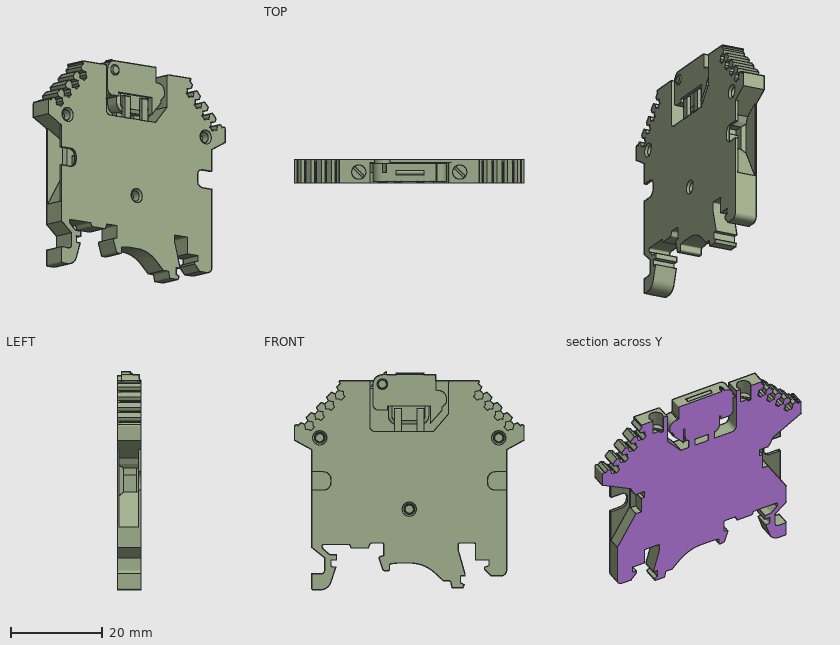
import cadquery as cq
import math

THICKNESS = 5.2
FRONT = -THICKNESS / 2
BACK = THICKNESS / 2
TOP = 45.95
HALF_WIDTH = 21.4
TIP_HALF_WIDTH = 25.2
TIP_BOTTOM = 32.85
SHOULDER = 30.8

GROOVE_COUNT = 4
GROOVE_STEP = 2.235
FIRST_GROOVE = (-22.65, 36.75)
TOOTH_HEIGHT = 0.8
MOUTH_HALF = 0.5
GROOVE_TOP_HALF = 0.8
GROOVE_WEB = 0.55

POCKET_FRONT = -2.0
POCKET_BACK = 2.2
POCKET_FLOOR = -16.75
POCKET_ROOF = 28.95
RAMP_BOTTOM = 13.8
NOTCH_END = -17.25
NOTCH_BOTTOM = 21.9
NOTCH_HEIGHT = 4.05
NOTCH_RADIUS = 1.6
RECESS_FRONT = -1.6
RECESS_BACK = 1.2
RECESS_BOTTOM = 21.45
RECESS_STEP = 25.25
RECESS_TOP = 26.75
RECESS_FLOOR = -15.35
RECESS_UPPER_FLOOR = -14.6
WEDGE_EDGE_Y = 1.25
WEDGE_DEPTH = 0.5
WEDGE_BOTTOM = 20.15
WEDGE_TOP = 28.2

DIMPLES = ((-19.65, 33.4), (19.65, 33.4), (0, 17.75))
DIMPLE_RIM = 3.1
DIMPLE_THROAT = 2.3
DIMPLE_END = 1.8
DIMPLE_RIM_DEPTH = 0.55
DIMPLE_DEPTH = 2.25

SCREW_X = 11.1
SCREW_Y = -0.2
SCREW_DIAMETER = 3.1
SCREW_DEPTH = 3.55
SCREW_SLOT_WIDTH = 0.5
SCREW_SLOT_DEPTH = 0.5

CHAMBER_BACK = 1.85
CHAMBER_FLOOR = 34.85
CHAMBER_LEFT = -8.65
CHAMBER_RIGHT = 8.65
CHAMBER_LIP_RADIUS = 0.45

LID_FRONT = -2.2
LID_BACK = 1.7
LID_TOP = 47.3
LID_ROUND = 2.05
HINGE = (-5.9, LID_TOP - LID_ROUND)
LID_LEFT = HINGE[0] - LID_ROUND
KNUCKLE_RADIUS = 1.85
PIN_DIAMETER = 2.3
PIN_END_DIAMETER = 1.75
PIN_HEIGHT = 0.3
RIB_LEFT, RIB_RIGHT = -2.85, 3.25
RIB_FRONT, RIB_BACK = -0.8, 0.15
RIB_TOP = 47.65
LATCH_FRONT, LATCH_BACK = -0.25, LID_BACK
PART_TOP = 48.0

CONTACT_X = 2.45
CONTACT_WIDTH = 1.6
CONTACT_FRONT, CONTACT_BACK = -2.4, -1.5
CONTACT_TOP = 39.85
CONTACT_ROUND = 0.45
LEG_FRONT = 0.45
PAD_CENTER_X = -0.15
PAD_HALF_WIDTH = 4.45
PAD_BOTTOM = 36.4
PAD_TOP = 42.35
PAD_CORNER = 1.8
PAD_TAPER = 0.8
PAD_FRONT = CONTACT_BACK
PAD_BASE_FRONT = PAD_FRONT + 0.3


def mirrored(points):
    """Reflect outline points across X = 0, reversing them to keep the direction of travel."""
    return [(-p[0], *p[1:]) for p in reversed(points)]


def rounded_outline(plane, points):
    """Closed outline through (u, v) or (u, v, radius) corners, rounding those with a radius."""
    ends = []
    count = len(points)
    for i, corner in enumerate(points):
        u, v = corner[:2]
        radius = corner[2] if len(corner) > 2 else 0
        if radius == 0:
            ends.append(((u, v),))
            continue
        before = points[i - 1]
        after = points[(i + 1) % count]
        in_angle = math.atan2(before[1] - v, before[0] - u)
        out_angle = math.atan2(after[1] - v, after[0] - u)
        half = math.acos(math.cos(in_angle - out_angle)) / 2
        reach = radius / math.tan(half)
        start = (u + reach * math.cos(in_angle), v + reach * math.sin(in_angle))
        end = (u + reach * math.cos(out_angle), v + reach * math.sin(out_angle))
        mid_u = (start[0] + end[0]) / 2 - u
        mid_v = (start[1] + end[1]) / 2 - v
        apex = radius * (1 / math.sin(half) - 1) / math.hypot(mid_u, mid_v)
        ends.append((start, (u + mid_u * apex, v + mid_v * apex), end))
    path = plane.moveTo(*ends[0][-1])
    for corner in ends[1:] + ends[:1]:
        path = path.lineTo(*corner[0])
        if len(corner) == 3:
            path = path.threePointArc(corner[1], corner[2])
    return path.close()


def plate(points, front, back):
    """Prism of an XZ outline between two Y positions."""
    plane = cq.Workplane("XZ", origin=(0, back, 0))
    return rounded_outline(plane, points).extrude(back - front)


def block(x_range, y_range, z_range):
    """Axis-aligned box from its three ranges."""
    sizes = [high - low for low, high in (x_range, y_range, z_range)]
    corner = (x_range[0], y_range[0], z_range[0])
    return cq.Workplane("XY").box(*sizes, centered=False).translate(corner)


def round_bar(center, diameters, front, back):
    """Cylinder or cone along Y; the diameters are those at the front and at the back."""
    return (
        cq.Workplane("XZ", origin=(center[0], front, center[1]))
        .circle(diameters[0] / 2)
        .workplane(offset=front - back)
        .circle(diameters[1] / 2)
        .loft(ruled=True)
    )


def on_slope(mouth, depth, along):
    """XZ point at a depth below the left shoulder and a distance up along it from a groove mouth."""
    return (mouth[0] + (along + depth) / math.sqrt(2), mouth[1] + (along - depth) / math.sqrt(2))


def groove_mouths():
    x, z = FIRST_GROOVE
    return [(x + i * GROOVE_STEP, z + i * GROOVE_STEP) for i in range(GROOVE_COUNT)]


def shoulder_points():
    """Left shoulder from the body side up to the top edge."""
    points = [
        (-HALF_WIDTH, SHOULDER),
        (-TIP_HALF_WIDTH, TIP_BOTTOM),
        (-TIP_HALF_WIDTH, 36.3, 0.4),
        (-24.65, 36.3),
        (-24.45, 36.1),
    ]
    for mouth in groove_mouths():
        points.append(on_slope(mouth, -TOOTH_HEIGHT, -GROOVE_TOP_HALF))
        points.append(on_slope(mouth, 0, -MOUTH_HALF))
        points.append(on_slope(mouth, 0, MOUTH_HALF))
        points.append(on_slope(mouth, -TOOTH_HEIGHT, GROOVE_TOP_HALF))
    points += [(-15.3, 45.15), (-15.15, 45.35), (-15.4, 45.65), (-15.3, TOP)]
    return points


def foot_points():
    """Rail feet along the bottom, from the +X side to the -X side."""
    catch_foot = [
        (HALF_WIDTH, 3.05, 1.3),
        (17.95, 3.05),
        (16.5, 4.55),
        (16.5, 5.0),
        (17.5, 5.35),
        (17.5, 6.55),
        (14.5, 6.55),
        (14.5, 10.3, 0.25),
        (10.8, 10.3, 0.25),
        (10.8, 8.7),
        (12.25, 3.6),
        (12.25, 3.05),
        (11.3, 3.05),
        (11.3, 1.55),
        (12.1, 1.15),
        (11.8, 0.45),
        (9.35, 0.45, 0.2),
        (9.05, 1.95, 0.3),
        (7.5, 1.95),
    ]
    arch = [
        (3.35, 5.9, 8.05),
        (-2.45, 5.9),
        (-4.35, 5.7, 0.25),
        (-4.35, 4.15, 0.35),
        (-5.75, 4.25, 0.45),
        (-6.75, 7.25, 0.45),
        (-5.65, 7.55),
        (-5.65, 10.3, 0.25),
        (-8.5, 10.3, 0.35),
        (-8.95, 9.15, 0.3),
        (-12.75, 9.15, 0.3),
        (-13.1, 10.0, 0.3),
        (-19.35, 10.0, 0.4),
        (-18.95, 9.05),
    ]
    hook_foot = [
        (-17.5, 7.75, 0.9),
        (-15.95, 7.75),
        (-15.95, 6.55),
        (-17.15, 6.55),
        (-17.15, 5.1, 0.25),
        (-16.1, 5.1),
        (-17.75, 0, 2.5),
        (-HALF_WIDTH, 0, 0.35),
        (-HALF_WIDTH, 3.6),
        (-18.6, 3.6, 0.75),
        (-18.6, 7.05),
        (-HALF_WIDTH, 9.3),
    ]
    return catch_foot + arch + hook_foot


def both_sides(solid):
    return solid.union(solid.mirror("YZ"))


def groove_pockets():
    """Keyhole-shaped grooves behind the tooth mouths, closed at the back by a thin web."""
    half_profile = [(-TOOTH_HEIGHT, 0.5), (0, MOUTH_HALF), (0.95, 1.15), (1.4, 0.65), (1.95, 0.55)]
    profile = half_profile + [(depth, -along) for depth, along in reversed(half_profile)]
    pockets = cq.Workplane("XZ")
    for mouth in groove_mouths():
        points = [on_slope(mouth, depth, along) for depth, along in profile]
        pockets = pockets.union(plate(points, FRONT, BACK - GROOVE_WEB))
    return both_sides(pockets)


def side_pockets():
    """Funnel pockets open to the sides, each with a deeper recess and a notch through its front wall."""
    overhang_run = (TIP_HALF_WIDTH - HALF_WIDTH) / (TIP_BOTTOM - SHOULDER)
    roof_x = -HALF_WIDTH + (SHOULDER - POCKET_ROOF) * overhang_run
    funnel = plate(
        [
            (-HALF_WIDTH, SHOULDER),
            (roof_x, POCKET_ROOF),
            (-17.4, 27.55),
            (POCKET_FLOOR, RECESS_TOP),
            (POCKET_FLOOR, RECESS_BOTTOM),
            (-HALF_WIDTH, RAMP_BOTTOM),
        ],
        POCKET_FRONT,
        POCKET_BACK,
    )
    wedge = (
        cq.Workplane("XY", origin=(0, 0, WEDGE_BOTTOM))
        .polyline(
            [
                (POCKET_FLOOR, POCKET_BACK),
                (POCKET_FLOOR - WEDGE_DEPTH, POCKET_BACK),
                (POCKET_FLOOR, WEDGE_EDGE_Y),
            ]
        )
        .close()
        .extrude(WEDGE_TOP - WEDGE_BOTTOM)
    )
    recess_width = (RECESS_FRONT, RECESS_BACK)
    recess = block((POCKET_FLOOR, RECESS_FLOOR), recess_width, (RECESS_BOTTOM, RECESS_TOP))
    upper_recess = block((POCKET_FLOOR, RECESS_UPPER_FLOOR), recess_width, (RECESS_STEP, RECESS_TOP))
    recess = recess.union(upper_recess)
    notch = plate(
        [
            (-HALF_WIDTH, NOTCH_BOTTOM),
            (NOTCH_END, NOTCH_BOTTOM, NOTCH_RADIUS),
            (NOTCH_END, NOTCH_BOTTOM + NOTCH_HEIGHT, NOTCH_RADIUS),
            (-HALF_WIDTH, NOTCH_BOTTOM + NOTCH_HEIGHT),
        ],
        FRONT,
        POCKET_FRONT,
    )
    return both_sides(funnel.cut(wedge).union(recess).union(notch))


def dimples():
    cutters = cq.Workplane("XZ")
    throat_y = FRONT + DIMPLE_RIM_DEPTH
    for center in DIMPLES:
        rim = round_bar(center, (DIMPLE_RIM, DIMPLE_THROAT), FRONT, throat_y)
        throat = round_bar(center, (DIMPLE_THROAT, DIMPLE_END), throat_y, FRONT + DIMPLE_DEPTH)
        cutters = cutters.union(rim).union(throat)
    return cutters


def screw_shafts():
    """Shafts down from the top, with a slanted driver slot in the screw head at the bottom."""
    shafts = cq.Workplane("XY")
    head_z = TOP - SCREW_DEPTH
    for x in (-SCREW_X, SCREW_X):
        plane = cq.Workplane("XY", origin=(x, SCREW_Y, head_z))
        shaft = plane.circle(SCREW_DIAMETER / 2).extrude(SCREW_DEPTH)
        slot = (
            plane.transformed(rotate=(0, 0, -45))
            .rect(SCREW_DIAMETER, SCREW_SLOT_WIDTH)
            .extrude(-SCREW_SLOT_DEPTH)
        )
        head = plane.circle(SCREW_DIAMETER / 2).extrude(-SCREW_SLOT_DEPTH)
        shafts = shafts.union(shaft).union(slot.intersect(head))
    return shafts


def chamber():
    """Chamber for the lid, open to the front and the top, with a rounded lip on the right."""
    space = plate(
        [
            (CHAMBER_LEFT, TOP),
            (CHAMBER_LEFT, CHAMBER_FLOOR, 1.1),
            (5.35, CHAMBER_FLOOR),
            (CHAMBER_RIGHT, 38.7),
            (CHAMBER_RIGHT, TOP),
        ],
        FRONT,
        CHAMBER_BACK,
    )
    r = CHAMBER_LIP_RADIUS
    lip = block((CHAMBER_RIGHT, CHAMBER_RIGHT + r), (FRONT, CHAMBER_BACK), (TOP - r, TOP))
    rounding = round_bar((CHAMBER_RIGHT + r, TOP - r), (2 * r, 2 * r), FRONT, CHAMBER_BACK)
    return space.union(lip.cut(rounding))


def lid():
    """Lid with hinge knuckle and pin, latch knob, marker rib and the window over the contacts."""
    body = plate(
        [
            (LID_LEFT, LID_TOP, LID_ROUND - 0.005),
            (5.85, LID_TOP, 0.2),
            (5.85, 43.95),
            (6.15, 43.8),
            (8.15, 43.8, 1.75),
            (8.15, 41.1, 0.75),
            (7.15, 40.05),
            (7.15, 39.4),
            (4.65, 36.6),
            (4.65, 40.35),
            (-4.8, 40.35),
            (-4.8, 39.5),
            (LID_LEFT, 39.5, 1.2),
        ],
        LID_FRONT,
        LID_BACK,
    )
    knuckle = round_bar(HINGE, (2 * KNUCKLE_RADIUS, 2 * KNUCKLE_RADIUS), LID_BACK, BACK)
    pin = round_bar(HINGE, (PIN_END_DIAMETER, PIN_DIAMETER), LID_FRONT - PIN_HEIGHT, LID_FRONT)
    rib = (
        cq.Workplane("YZ", origin=(RIB_LEFT, 0, 0))
        .moveTo(RIB_FRONT, LID_TOP)
        .threePointArc(((RIB_FRONT + RIB_BACK) / 2, RIB_TOP), (RIB_BACK, LID_TOP))
        .close()
        .extrude(RIB_RIGHT - RIB_LEFT)
    )
    latch = plate(
        [(-8.55, 44.25), (-8.55, 44.55), (-5.15, PART_TOP), (-5.0, 47.85), (-5.0, 44.25)],
        LATCH_FRONT,
        LATCH_BACK,
    )
    return body.union(knuckle).union(pin).union(rib).union(latch)


def contacts():
    """Two contacts with a rounded top edge and a rear leg, and the bevelled pad between them."""
    half = CONTACT_WIDTH / 2
    parts = cq.Workplane("XZ")
    for x in (-CONTACT_X, CONTACT_X):
        x_range = (x - half, x + half)
        contact = block(x_range, (CONTACT_FRONT, CONTACT_BACK), (CHAMBER_FLOOR, CONTACT_TOP))
        leg = block(x_range, (LEG_FRONT, CHAMBER_BACK), (CHAMBER_FLOOR, CONTACT_TOP))
        parts = parts.union(contact.edges("<Y and >Z").fillet(CONTACT_ROUND)).union(leg)

    left = PAD_CENTER_X - PAD_HALF_WIDTH
    right = PAD_CENTER_X + PAD_HALF_WIDTH
    corners = [
        (left, PAD_TOP),
        (left, PAD_BOTTOM, PAD_CORNER),
        (right, PAD_BOTTOM, PAD_CORNER),
        (right, PAD_TOP),
    ]
    pad_base = plate(corners, PAD_BASE_FRONT, CHAMBER_BACK)
    depth = PAD_BASE_FRONT - PAD_FRONT
    taper_angle = math.degrees(math.atan2(PAD_TAPER, depth))
    plane = cq.Workplane("XZ", origin=(0, PAD_BASE_FRONT, 0))
    pad_face = rounded_outline(plane, corners).extrude(depth, taper=taper_angle)
    return parts.union(pad_base).union(pad_face)


outline = shoulder_points() + mirrored(shoulder_points()) + foot_points()
housing = plate(outline, FRONT, BACK)
housing = housing.cut(groove_pockets()).cut(side_pockets()).cut(dimples())
housing = housing.cut(screw_shafts()).cut(chamber())
result = housing.union(lid()).union(contacts())